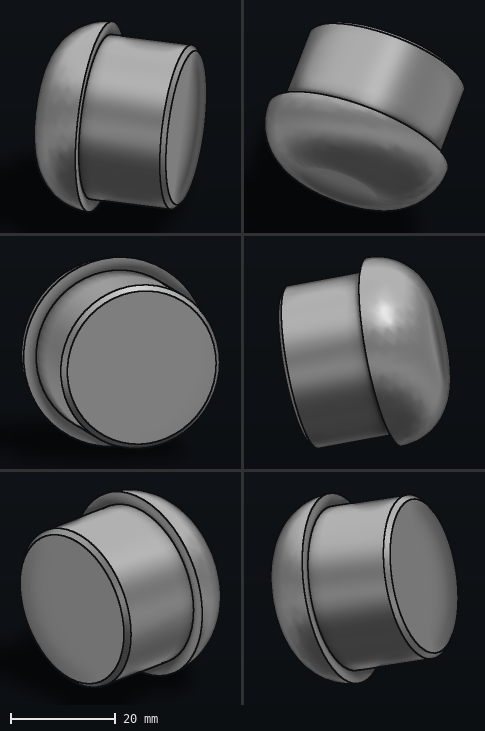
import cadquery as cq

total_length = 27.7
head_diameter = 36.8
dome_radius = 10.75
stem_diameter = 31.8
chamfer_length = 0.92
chamfer_depth = 1.03

head_length = dome_radius
head_radius = head_diameter / 2
stem_radius = stem_diameter / 2
flat_radius = head_radius - dome_radius
arc_offset = dome_radius * 0.5**0.5

profile = (
    cq.Workplane("XY")
    .lineTo(0, flat_radius)
    .threePointArc(
        (dome_radius - arc_offset, flat_radius + arc_offset),
        (head_length, head_radius),
    )
    .lineTo(head_length, stem_radius)
    .lineTo(total_length - chamfer_length, stem_radius)
    .lineTo(total_length, stem_radius - chamfer_depth)
    .lineTo(total_length, 0)
    .close()
)

result = profile.revolve(360, (0, 0, 0), (1, 0, 0))